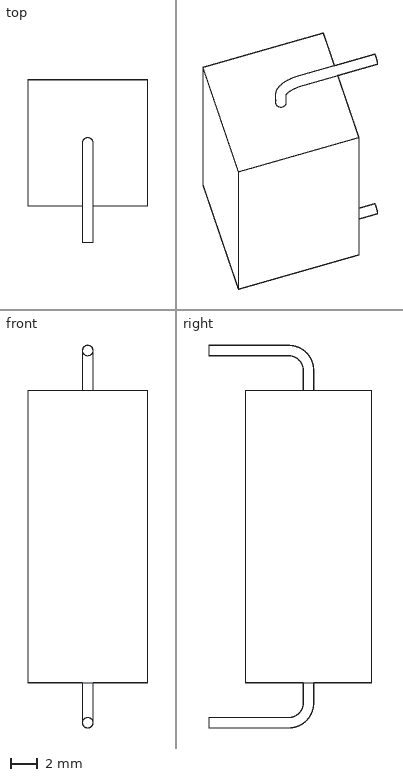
import cadquery as cq

body_width = 9.0
body_depth = 9.5
body_height = 22.0

lead_diameter = 0.8
lead_stub = 1.5
bend_radius = 1.5
lead_tail = 6.0


def make_body():
    return cq.Workplane("XY").box(body_width, body_depth, body_height)


def make_lead(end):
    """Wire leaving the top (end = 1) or bottom (end = -1) face and bending toward -Y."""
    face_z = end * body_height / 2
    bend_start_z = face_z + end * lead_stub
    tail_z = bend_start_z + end * bend_radius

    stub = (
        cq.Workplane("XY", origin=(0, 0, face_z))
        .circle(lead_diameter / 2)
        .extrude(end * lead_stub)
    )
    bend = (
        cq.Workplane("XY", origin=(0, 0, bend_start_z))
        .circle(lead_diameter / 2)
        .revolve(90, (0, -bend_radius, 0), (end, -bend_radius, 0))
    )
    tail = (
        cq.Workplane("XZ", origin=(0, -bend_radius, tail_z))
        .circle(lead_diameter / 2)
        .extrude(lead_tail)
    )
    return stub.union(bend).union(tail)


body = make_body()
leads = [make_lead(end) for end in (1, -1)]

result = cq.Compound.makeCompound([body.val(), *[lead.val() for lead in leads]])